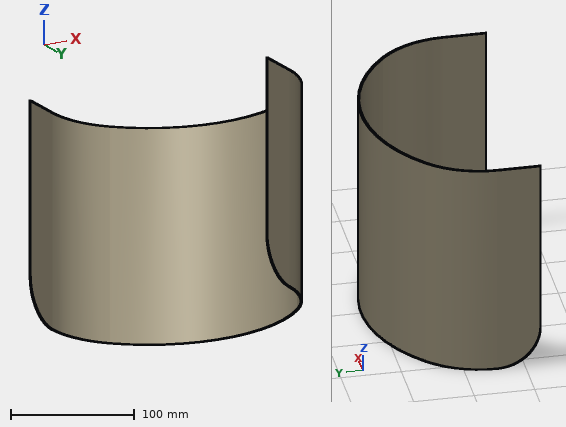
import cadquery as cq
import math

width = 222.0
depth = 125.9
height = 185.0

thickness = 1.0
back_radius = 126.5
side_radius = 75.5
corner_radius = 35.0

back_center_y = depth - back_radius
side_center_x = width / 2 - side_radius
center_distance = back_radius - side_radius
side_center_y = back_center_y + math.sqrt(center_distance**2 - side_center_x**2)
joint_angle = math.atan2(side_center_y - back_center_y, side_center_x)


def side_bend_point(radius, angle):
    """Point on the right-hand bend, at an angle measured from +X."""
    return (
        side_center_x + radius * math.cos(angle),
        side_center_y + radius * math.sin(angle),
    )


def mirrored(point):
    return (-point[0], point[1])


def arch(inset):
    """Solid arch whose curved outline is offset inward from the outer face."""
    radius = side_radius - inset
    bend_start = side_bend_point(radius, 0)
    bend_middle = side_bend_point(radius, joint_angle / 2)
    bend_end = side_bend_point(radius, joint_angle)
    return (
        cq.Workplane("XY")
        .moveTo(bend_start[0], 0)
        .lineTo(*bend_start)
        .threePointArc(bend_middle, bend_end)
        .threePointArc((0, depth - inset), mirrored(bend_end))
        .threePointArc(mirrored(bend_middle), mirrored(bend_start))
        .lineTo(-bend_start[0], 0)
        .close()
        .extrude(height)
    )


shell = arch(0).cut(arch(thickness))

result = shell.faces("<Y").edges("<Z").fillet(corner_radius)